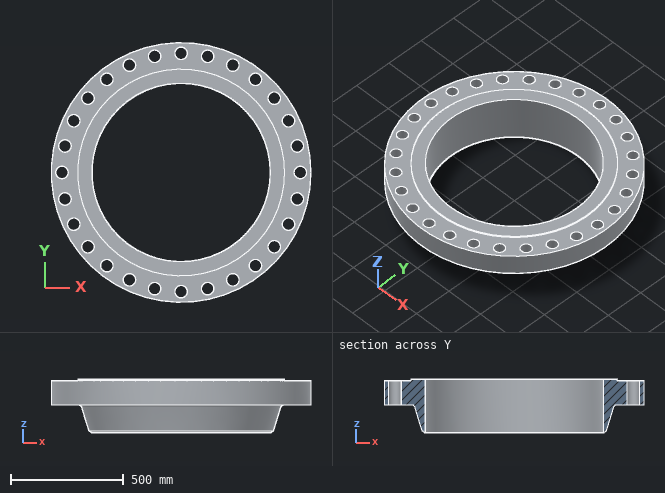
import cadquery as cq
import math

outer_dia = 1149.35
total_height = 238.12
bore_dia = 787.4

raised_face_dia = 914.4
raised_face_height = 6.35
face_z = 115.09
plate_top_z = face_z - raised_face_height

bolt_circle_dia = 1054.1
bolt_hole_dia = 53.98
bolt_hole_count = 28

hub_base_dia = 888.0
neck_dia = 818.0
hub_fillet_radius = 14.3
bevel_width = 12.1
weld_bevel_angle = 37.5

bore_radius = bore_dia / 2
hub_base_radius = hub_base_dia / 2
neck_radius = neck_dia / 2
neck_end_z = face_z - total_height
bevel_top_z = neck_end_z + bevel_width * math.tan(math.radians(weld_bevel_angle))

cone_angle = math.atan2(hub_base_radius - neck_radius, -bevel_top_z)
fillet_tangent_length = hub_fillet_radius * math.tan((math.pi / 2 - cone_angle) / 2)
fillet_center_radius = hub_base_radius + fillet_tangent_length
fillet_center_z = -hub_fillet_radius


def fillet_point(angle):
    """Point (radius, Z) on the hub fillet, with the angle taken from the outward direction."""
    return (
        fillet_center_radius + hub_fillet_radius * math.cos(angle),
        fillet_center_z + hub_fillet_radius * math.sin(angle),
    )


def make_body():
    """Revolve the full section: raised face, plate, hub fillet, cone and weld bevel."""
    cone_tangent_angle = math.pi - cone_angle
    fillet_start = fillet_point(math.pi / 2)
    fillet_middle = fillet_point((math.pi / 2 + cone_tangent_angle) / 2)
    fillet_end = fillet_point(cone_tangent_angle)
    return (
        cq.Workplane("XZ")
        .moveTo(bore_radius, face_z)
        .lineTo(raised_face_dia / 2, face_z)
        .lineTo(raised_face_dia / 2, plate_top_z)
        .lineTo(outer_dia / 2, plate_top_z)
        .lineTo(outer_dia / 2, 0)
        .lineTo(*fillet_start)
        .threePointArc(fillet_middle, fillet_end)
        .lineTo(neck_radius, bevel_top_z)
        .lineTo(neck_radius - bevel_width, neck_end_z)
        .lineTo(bore_radius, neck_end_z)
        .close()
        .revolve(360, (0, 0), (0, 1))
    )


def make_bolt_holes():
    """Evenly spaced through holes, the first one on the +X axis."""
    return (
        cq.Workplane("XY")
        .polarArray(bolt_circle_dia / 2, 0, 360, bolt_hole_count)
        .circle(bolt_hole_dia / 2)
        .extrude(plate_top_z)
    )


result = make_body().cut(make_bolt_holes())